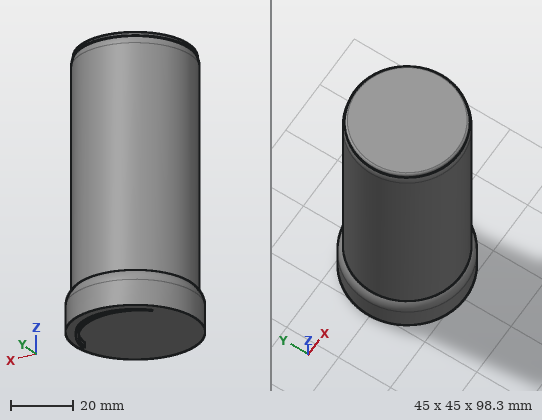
import cadquery as cq
import math

total_height = 98.25
base_radius = 45.0 / 2
body_radius = 41.5 / 2
cap_radius = 40.3 / 2
neck_radius = 36.5 / 2

ramp_drop = 1.6
collar_bottom = 10.5
collar_top = 14.5
shoulder_bottom = total_height - 4.3
shoulder_top = total_height - 1.8
cap_bottom = total_height - 1.5

shoulder_inset = 0.6
cap_rounding = 0.9

ramp_inner_radius = 18.3
ramp_outer_radius = 19.2
ramp_sweep_degrees = 135.0
ramp_section_height = 2.0


def tangent_arc_middle(radius, bottom, inset, height):
    """Middle point of an arc rising vertically from (radius, bottom) and leaning in by inset."""
    arc_radius = (inset**2 + height**2) / (2 * inset)
    half_angle = math.asin(height / arc_radius) / 2
    return (
        radius - arc_radius * (1 - math.cos(half_angle)),
        bottom + arc_radius * math.sin(half_angle),
    )


def make_body():
    """Turned profile: base, rounded collar, tube, rounded shoulder, neck groove and end cap."""
    collar_middle = tangent_arc_middle(
        base_radius, collar_bottom, base_radius - body_radius, collar_top - collar_bottom
    )
    shoulder_middle = tangent_arc_middle(
        body_radius, shoulder_bottom, shoulder_inset, shoulder_top - shoulder_bottom
    )
    profile = (
        cq.Workplane("XZ")
        .moveTo(0, ramp_drop)
        .lineTo(base_radius, ramp_drop)
        .lineTo(base_radius, collar_bottom)
        .threePointArc(collar_middle, (body_radius, collar_top))
        .lineTo(body_radius, shoulder_bottom)
        .threePointArc(shoulder_middle, (body_radius - shoulder_inset, shoulder_top))
        .lineTo(neck_radius, shoulder_top)
        .lineTo(neck_radius, cap_bottom)
        .lineTo(cap_radius, cap_bottom)
        .lineTo(cap_radius, total_height)
        .lineTo(0, total_height)
        .close()
    )
    body = profile.revolve(360, (0, 0, 0), (0, 1, 0))
    return body.faces(">Z").edges().fillet(cap_rounding)


def make_ramp():
    """Narrow helical ramp, deepest on the +X axis and rising into the base over the +Y side."""
    ramp_width = ramp_outer_radius - ramp_inner_radius
    ramp_middle_radius = ramp_inner_radius + ramp_width / 2
    pitch = ramp_drop * 360 / ramp_sweep_degrees
    path = cq.Workplane(cq.Wire.makeHelix(pitch, ramp_drop, ramp_middle_radius))
    section = (
        cq.Workplane("XZ")
        .center(ramp_middle_radius, ramp_section_height / 2)
        .rect(ramp_width, ramp_section_height)
    )
    return section.sweep(path, isFrenet=True)


result = make_body().union(make_ramp())